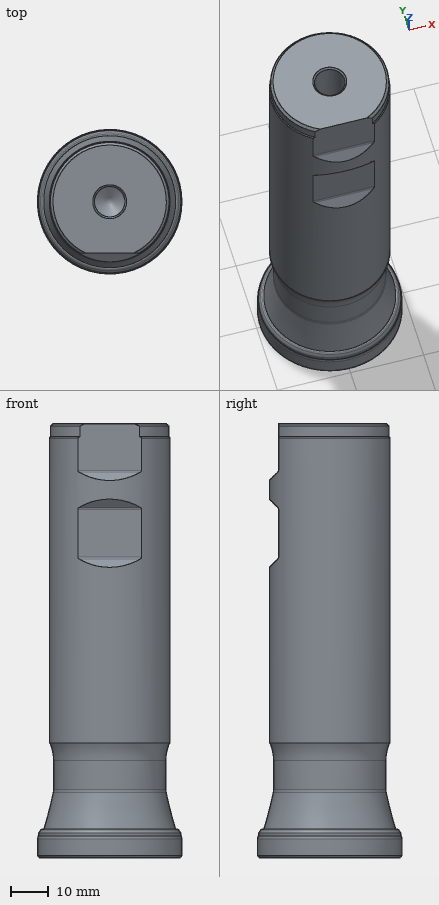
import cadquery as cq
import math

TOTAL_HEIGHT = 114.3
FOOT_HEIGHT = 7.5
FLARE_TOP = 17.3
NECK_BOTTOM = 18.0
NECK_TOP = 25.6
SHANK_BOTTOM = 30.3

SHANK_RADIUS = 31.8 / 2
NECK_RADIUS = 29.6 / 2
UNDERCUT_RADIUS = 15.8
FLARE_BASE_RADIUS = 17.4
FLARE_BLEND = 0.08
FLARE_CURVE_RADIUS = 102.9
PILOT_RADIUS = 31.2 / 2
PILOT_LENGTH = 3.8
PILOT_CHAMFER = 0.7
STEP_CHAMFER = PILOT_CHAMFER / 2

HOLE_RADIUS = 8.0 / 2
HOLE_DEPTH = 20.0
HOLE_CHAMFER = 0.5
DRILL_TIP_ANGLE = 118.0

FLAT_WIDTH = 16.8
FLAT_DISTANCE = math.sqrt(SHANK_RADIUS**2 - (FLAT_WIDTH / 2)**2)
UPPER_FLAT_BOTTOM = TOTAL_HEIGHT - 12.6
LOWER_FLAT_TOP = TOTAL_HEIGHT - 22.3
LOWER_FLAT_BOTTOM = TOTAL_HEIGHT - 35.4
FLAT_CORNER_RADIUS = 0.7
CUT_MARGIN = 1.1

FOOT_RADIUS = 38.1 / 2
RIM_RADIUS = 18.7
RIM_BEVEL_HEIGHT = 1.0
RIM_BEVEL_WIDTH = 0.7
RIM_ROUND = 0.5
RIM_STEP_HEIGHT = 5.7
RIM_CHAMFER_HEIGHT = 0.7
RIM_CHAMFER = 0.17
FOOT_BOTTOM_CHAMFER = 0.6


def make_shank_blank():
    step_level = TOTAL_HEIGHT - PILOT_LENGTH
    return (
        cq.Workplane("XZ")
        .moveTo(0, FOOT_HEIGHT)
        .lineTo(FLARE_BASE_RADIUS, FOOT_HEIGHT)
        .radiusArc((NECK_RADIUS + FLARE_BLEND, FLARE_TOP), FLARE_CURVE_RADIUS)
        .lineTo(NECK_RADIUS, NECK_BOTTOM)
        .lineTo(NECK_RADIUS, NECK_TOP)
        .tangentArcPoint((UNDERCUT_RADIUS, SHANK_BOTTOM), relative=False)
        .lineTo(SHANK_RADIUS, SHANK_BOTTOM)
        .lineTo(SHANK_RADIUS, step_level)
        .lineTo(PILOT_RADIUS, step_level + STEP_CHAMFER)
        .lineTo(PILOT_RADIUS, TOTAL_HEIGHT - PILOT_CHAMFER)
        .lineTo(PILOT_RADIUS - PILOT_CHAMFER, TOTAL_HEIGHT)
        .lineTo(0, TOTAL_HEIGHT)
        .close()
        .revolve(360, (0, 0, 0), (0, 1, 0))
    )


def make_hole_cutter():
    hole_bottom = TOTAL_HEIGHT - HOLE_DEPTH
    tip_depth = HOLE_RADIUS / math.tan(math.radians(DRILL_TIP_ANGLE / 2))
    return (
        cq.Workplane("XZ")
        .moveTo(0, hole_bottom - tip_depth)
        .lineTo(HOLE_RADIUS, hole_bottom)
        .lineTo(HOLE_RADIUS, TOTAL_HEIGHT - HOLE_CHAMFER)
        .lineTo(HOLE_RADIUS + HOLE_CHAMFER, TOTAL_HEIGHT)
        .lineTo(0, TOTAL_HEIGHT)
        .close()
        .revolve(360, (0, 0, 0), (0, 1, 0))
    )


def make_flat_cutter(bottom, top):
    """Trapezoidal cutter whose inner face is the flat, from bottom to top."""
    outer = SHANK_RADIUS + CUT_MARGIN
    flare = outer - FLAT_DISTANCE
    return (
        cq.Workplane("YZ")
        .moveTo(-FLAT_DISTANCE, bottom)
        .lineTo(-FLAT_DISTANCE, top)
        .lineTo(-outer, top + flare)
        .lineTo(-outer, bottom - flare)
        .close()
        .extrude(SHANK_RADIUS, both=True)
        .faces(">Y")
        .edges("|X")
        .fillet(FLAT_CORNER_RADIUS)
    )


def make_shank():
    shank = make_shank_blank().cut(make_hole_cutter())
    flats = [
        (UPPER_FLAT_BOTTOM, TOTAL_HEIGHT + CUT_MARGIN),
        (LOWER_FLAT_BOTTOM, LOWER_FLAT_TOP),
    ]
    for bottom, top in flats:
        shank = shank.cut(make_flat_cutter(bottom, top))
    return shank


def make_disc():
    return (
        cq.Workplane("XY")
        .circle(FOOT_RADIUS)
        .extrude(RIM_STEP_HEIGHT)
        .faces("<Z").edges().chamfer(FOOT_BOTTOM_CHAMFER)
        .faces(">Z").edges().chamfer(RIM_CHAMFER_HEIGHT, RIM_CHAMFER)
    )


def make_rim():
    return (
        cq.Workplane("XY")
        .workplane(offset=RIM_STEP_HEIGHT)
        .circle(RIM_RADIUS)
        .extrude(FOOT_HEIGHT - RIM_STEP_HEIGHT)
        .faces(">Z").edges().chamfer(RIM_BEVEL_HEIGHT, RIM_BEVEL_WIDTH)
        .edges(cq.selectors.BoxSelector(
            (-FOOT_RADIUS, -FOOT_RADIUS, FOOT_HEIGHT - RIM_BEVEL_HEIGHT - RIM_ROUND),
            (FOOT_RADIUS, FOOT_RADIUS, FOOT_HEIGHT + RIM_ROUND)))
        .edges("%CIRCLE")
        .fillet(RIM_ROUND)
    )


def make_foot():
    return make_disc().union(make_rim())


shank = make_shank()
foot = make_foot()
result = cq.Compound.makeCompound([shank.val(), foot.val()])